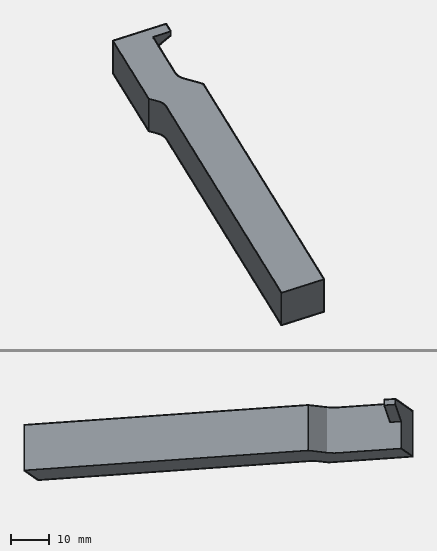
import cadquery as cq

length = 100.0
width = 15.0
height = 12.0

shank_width = 12.0
neck_width = 10.0
tip_length = 3.0
notch_floor_end = 18.5
head_length = 22.7
bend_radius = 3.8

tip_end_thickness = 1.5
tip_root_thickness = 4.9

shank_front = width - shank_width
notch_depth = width - neck_width


def bar_body():
    """Bar with an offset head, notched on its back behind the tip."""
    body = (
        cq.Workplane("XY")
        .polyline([
            (0, 0),
            (head_length, 0),
            (head_length + shank_front, shank_front),
            (length, shank_front),
            (length, width),
            (notch_floor_end + notch_depth, width),
            (notch_floor_end, neck_width),
            (tip_length, neck_width),
            (tip_length, width),
            (0, width),
        ])
        .close()
        .extrude(height)
    )
    inner_bends = [
        (notch_floor_end, neck_width),
        (head_length + shank_front, shank_front),
    ]
    for x, y in inner_bends:
        edge = cq.selectors.NearestToPointSelector((x, y, height / 2))
        body = body.edges(edge).fillet(bend_radius)
    return body


def tip_relief():
    """Material removed below the overhanging tip."""
    return (
        cq.Workplane("YZ")
        .polyline([
            (neck_width, 0),
            (width, 0),
            (width, height - tip_end_thickness),
            (neck_width, height - tip_root_thickness),
        ])
        .close()
        .extrude(tip_length)
    )


result = bar_body().cut(tip_relief())